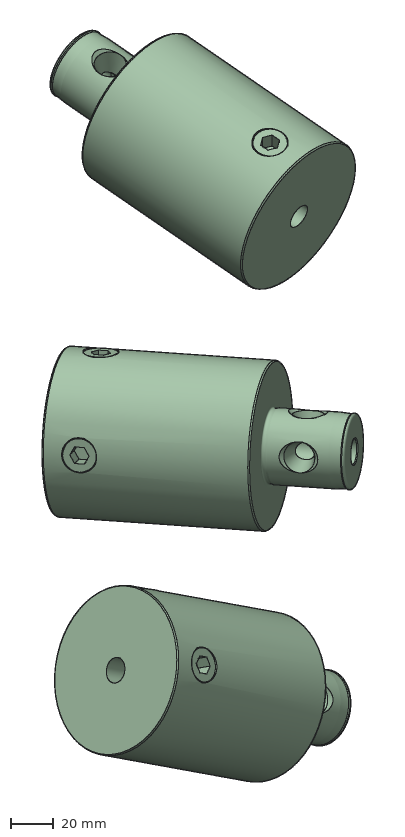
import cadquery as cq
import math

total_length = 140.0
shank_length = 40.0
shank_radius = 18.0
head_radius = 40.0
head_chamfer_length = 0.8
head_chamfer_depth = 0.45

nose_fillet = 1.4
ring_groove_floor_start = 2.0
ring_groove_end = 2.6
ring_groove_depth = 0.35
lead_taper_end = 7.7

relief_start = 37.3
relief_floor_start = 38.4
relief_depth = 0.3
relief_fillet = 0.7
face_relief_depth = 0.1
face_relief_radius = 19.8

bore_radius = 6.0
bore_chamfer = 0.5

seat_x = 22.2
seat_rim_radius = 7.45
seat_half_angle = math.radians(15)
seat_flare_half_angle = math.radians(49)

screw_x = 122.0
screw_length = 20.0
screw_top = 39.35
screw_radius = 8.1
screw_mouth_radius = 8.4
screw_mouth_floor = 38.0
hex_width = 8.0
hex_depth = 8.0

feature_turns = (0, -90)


def turn_about_x(shape, angle):
    return shape.rotate((0, 0, 0), (1, 0, 0), angle)


def make_turned_blank():
    """Revolve the half profile of shank and head, then bore it through."""
    groove_radius = shank_radius - ring_groove_depth
    relief_radius = shank_radius - relief_depth
    relief_bottom = shank_length + face_relief_depth
    fillet_mid = nose_fillet * (1 - math.sqrt(0.5))
    relief_mid = relief_fillet * (1 - math.sqrt(0.5))
    profile = (
        cq.Workplane("XY")
        .moveTo(0, 0)
        .lineTo(0, shank_radius - nose_fillet)
        .threePointArc((fillet_mid, shank_radius - fillet_mid), (nose_fillet, shank_radius))
        .lineTo(ring_groove_floor_start, groove_radius)
        .lineTo(ring_groove_end, groove_radius)
        .lineTo(lead_taper_end, shank_radius)
        .lineTo(relief_start, shank_radius)
        .lineTo(relief_floor_start, relief_radius)
        .lineTo(relief_bottom - relief_fillet, relief_radius)
        .threePointArc(
            (relief_bottom - relief_mid, relief_radius + relief_mid),
            (relief_bottom, relief_radius + relief_fillet),
        )
        .lineTo(shank_length, face_relief_radius)
        .lineTo(shank_length, head_radius - head_chamfer_depth)
        .lineTo(shank_length + head_chamfer_length, head_radius)
        .lineTo(total_length - head_chamfer_length, head_radius)
        .lineTo(total_length, head_radius - head_chamfer_depth)
        .lineTo(total_length, 0)
        .close()
    )
    blank = profile.revolve(360, (0, 0, 0), (1, 0, 0))
    bore = (
        cq.Workplane("XY")
        .lineTo(0, bore_radius + bore_chamfer)
        .lineTo(bore_chamfer, bore_radius)
        .lineTo(total_length, bore_radius)
        .lineTo(total_length, 0)
        .close()
        .revolve(360, (0, 0, 0), (1, 0, 0))
    )
    return blank.cut(bore)


def make_seat_cutter():
    """Locking seat on the +Z side, from the bore axis to above the shank."""
    rim_z = math.sqrt(shank_radius**2 - seat_rim_radius**2)
    bottom_radius = seat_rim_radius - rim_z * math.tan(seat_half_angle)
    mouth_z = shank_radius + 1
    mouth_radius = seat_rim_radius + (mouth_z - rim_z) * math.tan(seat_flare_half_angle)
    return (
        cq.Workplane("XZ")
        .lineTo(bottom_radius, 0)
        .lineTo(seat_rim_radius, rim_z)
        .lineTo(mouth_radius, mouth_z)
        .lineTo(0, mouth_z)
        .close()
        .revolve(360, (0, 0, 0), (0, 1, 0))
        .translate((seat_x, 0, 0))
    )


def make_screw_hole_cutter():
    """Blind hole on the +Z side that fits the screw, slightly wider at its mouth."""
    floor_z = screw_top - screw_length
    return (
        cq.Workplane("XY", origin=(screw_x, 0, floor_z))
        .circle(screw_radius)
        .extrude(screw_length)
        .union(
            cq.Workplane("XY", origin=(screw_x, 0, screw_mouth_floor))
            .circle(screw_mouth_radius)
            .extrude(head_radius + 1 - screw_mouth_floor)
        )
    )


def make_screw():
    """Set screw on the +Z side with a hexagon socket, corners along X."""
    hex_corner_diameter = hex_width / math.cos(math.radians(30))
    return (
        cq.Workplane("XY", origin=(screw_x, 0, screw_top))
        .circle(screw_radius)
        .extrude(-screw_length)
        .faces(">Z")
        .workplane(origin=(screw_x, 0, screw_top))
        .polygon(6, hex_corner_diameter)
        .cutBlind(-hex_depth)
    )


adapter = make_turned_blank()
screws = []
for turn in feature_turns:
    adapter = adapter.cut(turn_about_x(make_seat_cutter(), turn))
    adapter = adapter.cut(turn_about_x(make_screw_hole_cutter(), turn))
    screws.append(turn_about_x(make_screw(), turn))

result = cq.Compound.makeCompound([adapter.val(), *[screw.val() for screw in screws]])